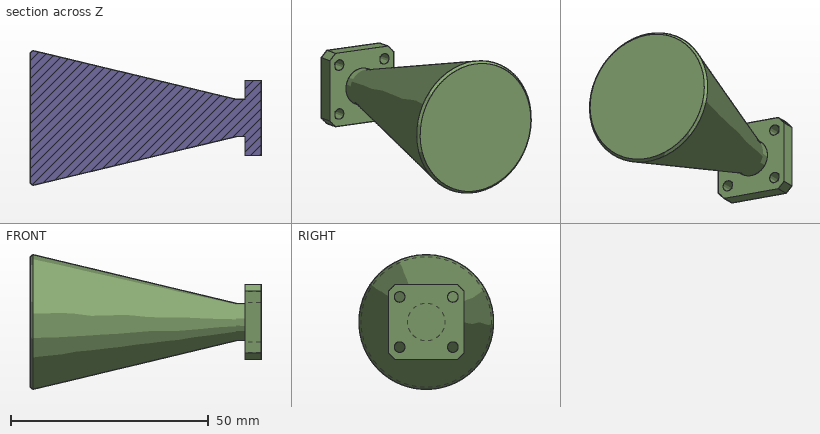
import cadquery as cq

total_length = 58.4
mouth_radius = 17.05
rim_length = 0.7
rim_radial_drop = 0.6
neck_start = 52.1
neck_radius = 4.75

flange_thickness = 4.15
flange_size = 19.05
flange_corner_chamfer = 1.7
hole_diameter = 2.7
hole_spacing_y = 13.45
hole_spacing_z = 12.7

flange_start = total_length - flange_thickness


def make_horn():
    """Revolve the bevelled rim, cone and cylindrical neck about X."""
    profile = [
        (0, 0),
        (0, mouth_radius - rim_radial_drop),
        (rim_length, mouth_radius),
        (neck_start, neck_radius),
        (flange_start, neck_radius),
        (flange_start, 0),
    ]
    return cq.Workplane("XZ").polyline(profile).close().revolve(360, (0, 0, 0), (1, 0, 0))


def make_flange():
    """Square plate with chamfered corners and four through holes."""
    return (
        cq.Workplane("YZ", origin=(flange_start, 0, 0))
        .rect(flange_size, flange_size)
        .extrude(flange_thickness)
        .edges("|X")
        .chamfer(flange_corner_chamfer)
        .faces("<X")
        .workplane()
        .rect(hole_spacing_y, hole_spacing_z, forConstruction=True)
        .vertices()
        .hole(hole_diameter)
    )


result = make_horn().union(make_flange())